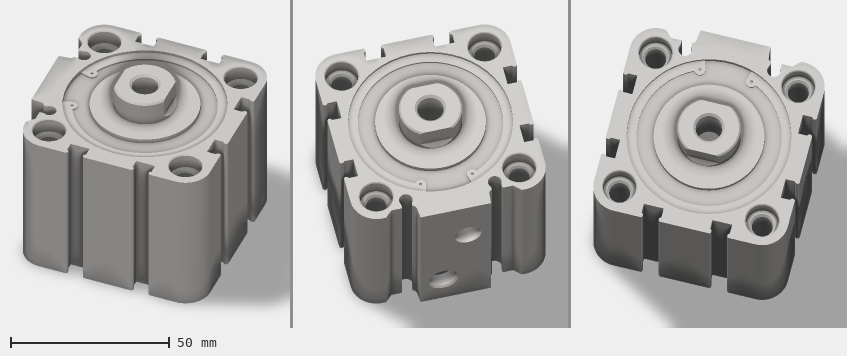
import cadquery as cq
import math


width = 63.0
half_width = width / 2
body_height = 49.85
bolt_offset = 23.2
corner_radius = half_width - bolt_offset

sunken_x = -29.3
sunken_half = 19.8
shoulder = half_width + sunken_x
port_face_x = -34.0
block_half_face = 11.4
block_half_neck = 11.8
block_neck_x = -30.05
block_waist_x = -29.7
block_half_waist = 12.05
block_shoulder_x = -29.2
block_half_shoulder = 12.5
block_root_x = -29.1
block_half_root = 12.85

groove_y = 14.4
groove_bulb_radius = 2.15
groove_bulb_x = -26.6
groove_neck_outer = 16.25

slot_offset = 11.15
slot_depth = 4.6
slot_half = 3.2
slot_mouth_half = 2.6
lip_thickness = 1.5
lip_bevel = 0.4

bolt_diameter = 6.6
bolt_countersink = 8.05
counterbore_diameter = 10.5
counterbore_rim = 11.15
counterbore_depth = 5.0

port_diameter = 8.6
port_y = 4.0
upper_port_z = 33.9
upper_port_depth = 5.3
lower_port_z = 10.6
lower_port_depth = 4.7
lower_port_rim = 9.75

recess_diameter = 52.0
recess_depth = 1.5
collar_diameter = 35.0
ring_inner_radius = 22.9
ring_drop = 0.9
ear_radius = 1.8
ear_x = -21.4
ear_y = 8.4
ear_hole_diameter = 1.0

rod_diameter = 20.0
rod_radius = rod_diameter / 2
rod_top = 58.0
rod_chamfer = 0.5
rod_sunk_depth = 19.65
rod_bottom = body_height - rod_sunk_depth
flat_half = 8.5
flat_bottom = 51.5
rod_hole_diameter = 8.4
rod_hole_rim = 9.95
rod_hole_depth = 15.0


def drilled_hole(diameter, depth, rim_diameter):
    """Cutter for a hole going down from the origin, with a 45 degree bevel at its mouth."""
    bevel = (rim_diameter - diameter) / 2
    return (
        cq.Workplane("XZ")
        .polyline([
            (0, 0),
            (rim_diameter / 2, 0),
            (diameter / 2, -bevel),
            (diameter / 2, -depth),
            (0, -depth),
        ])
        .close()
        .revolve(360, (0, 0, 0), (0, 1, 0))
    )


def full_height(outline):
    """Prism of a closed XY outline over the height of the housing."""
    return cq.Workplane("XY").polyline(outline).close().extrude(body_height)


def mirrored(half_outline):
    """Outline completed with its mirror image across the X axis."""
    return half_outline + [(x, -y) for x, y in reversed(half_outline)]


def port_side_recess():
    return full_height(mirrored([
        (-half_width, sunken_half + shoulder),
        (sunken_x, sunken_half),
    ]))


def port_block():
    return full_height(mirrored([
        (port_face_x, block_half_face),
        (block_neck_x, block_half_neck),
        (block_waist_x, block_half_waist),
        (block_shoulder_x, block_half_shoulder),
        (block_root_x, block_half_root),
    ]))


def keyhole_groove(side):
    neck_width = groove_neck_outer - block_half_root
    neck_length = groove_bulb_x - sunken_x
    neck = (
        cq.Workplane("XY")
        .center((sunken_x + groove_bulb_x) / 2, side * (groove_neck_outer + block_half_root) / 2)
        .rect(neck_length, neck_width)
        .extrude(body_height)
    )
    bulb = (
        cq.Workplane("XY")
        .center(groove_bulb_x, side * groove_y)
        .circle(groove_bulb_radius)
        .extrude(body_height)
    )
    return neck.union(bulb)


def t_slot(offset):
    """Cutter for a slot in the +X side whose lips are bevelled on both edges."""
    mouth_bevelled = slot_mouth_half + lip_bevel
    half_outline = [
        (half_width, mouth_bevelled),
        (half_width - lip_bevel, slot_mouth_half),
        (half_width - lip_thickness + lip_bevel, slot_mouth_half),
        (half_width - lip_thickness, mouth_bevelled),
        (half_width - lip_thickness, slot_half),
        (half_width - slot_depth, slot_half),
    ]
    return full_height(mirrored(half_outline)).translate((0, offset, 0))


def mounting_hole():
    counterbore = drilled_hole(counterbore_diameter, counterbore_depth, counterbore_rim)
    bolt_length = body_height - counterbore_depth
    bolt_hole = drilled_hole(bolt_diameter, bolt_length, bolt_countersink)
    return counterbore.union(bolt_hole.translate((0, 0, -counterbore_depth)))


def placed_on_port_face(cutter, y, z):
    """Turn a downward cutter so that it enters the port face at the given height and side."""
    return cutter.rotate((0, 0, 0), (0, 1, 0), -90).translate((port_face_x, y, z))


def upper_port():
    cutter = cq.Workplane("XY").circle(port_diameter / 2).extrude(-upper_port_depth)
    return placed_on_port_face(cutter, -port_y, upper_port_z)


def lower_port():
    cutter = drilled_hole(port_diameter, lower_port_depth, lower_port_rim)
    return placed_on_port_face(cutter, port_y, lower_port_z)


def cover_recess():
    """Annular recess around the collar of the end cover."""
    recess = cq.Workplane("XY").circle(recess_diameter / 2).extrude(recess_depth)
    collar = cq.Workplane("XY").circle(collar_diameter / 2).extrude(recess_depth)
    return recess.cut(collar).translate((0, 0, body_height - recess_depth))


def retaining_ring():
    """Open ring on the recess floor, each end finished by a round ear with a plier hole."""
    thickness = recess_depth - ring_drop
    outer_radius = recess_diameter / 2
    ear_distance = math.hypot(ear_x, ear_y)
    gap_angle = math.atan2(ear_y, -ear_x) - math.asin(ear_radius / ear_distance)
    gap_reach = 2 * outer_radius
    gap_half = gap_reach * math.tan(gap_angle)
    gap = (
        cq.Workplane("XY")
        .polyline([(0, 0), (-gap_reach, gap_half), (-gap_reach, -gap_half)])
        .close()
        .extrude(thickness)
    )
    ear_points = [(ear_x, ear_y), (ear_x, -ear_y)]
    ears = cq.Workplane("XY").pushPoints(ear_points).circle(ear_radius).extrude(thickness)
    holes = cq.Workplane("XY").pushPoints(ear_points).circle(ear_hole_diameter / 2).extrude(thickness)
    ring = cq.Workplane("XY").circle(outer_radius).circle(ring_inner_radius).extrude(thickness)
    ring = ring.cut(gap).union(ears).cut(holes)
    return ring.translate((0, 0, body_height - recess_depth))


def make_housing():
    body = cq.Workplane("XY").rect(width, width).extrude(body_height)
    body = body.edges("|Z").fillet(corner_radius)
    body = body.cut(port_side_recess()).union(port_block())
    for side in (-1, 1):
        body = body.cut(keyhole_groove(side))
        for angle in (-90, 0, 90):
            body = body.cut(t_slot(side * slot_offset).rotate((0, 0, 0), (0, 0, 1), angle))
        for x in (-bolt_offset, bolt_offset):
            body = body.cut(mounting_hole().translate((x, side * bolt_offset, body_height)))
    body = body.cut(upper_port())
    body = body.cut(lower_port())
    body = body.cut(cover_recess()).union(retaining_ring())
    rod_socket = cq.Workplane("XY").circle(rod_radius).extrude(rod_sunk_depth)
    return body.cut(rod_socket.translate((0, 0, rod_bottom)))


def wrench_flat():
    """Cutter for the flat on the +X side of the rod, running out below along a 45 degree slope."""
    reach = rod_radius - flat_half
    return (
        cq.Workplane("XZ")
        .polyline([
            (flat_half, rod_top),
            (flat_half, flat_bottom),
            (flat_half + reach, flat_bottom - reach),
            (flat_half + reach, rod_top),
        ])
        .close()
        .extrude(rod_radius, both=True)
    )


def make_rod():
    rod = cq.Workplane("XY").circle(rod_radius).extrude(rod_top - rod_bottom)
    rod = rod.faces(">Z").edges().chamfer(rod_chamfer).translate((0, 0, rod_bottom))
    for angle in (0, 180):
        rod = rod.cut(wrench_flat().rotate((0, 0, 0), (0, 0, 1), angle))
    end_hole = drilled_hole(rod_hole_diameter, rod_hole_depth, rod_hole_rim)
    return rod.cut(end_hole.translate((0, 0, rod_top)))


housing = make_housing()
piston_rod = make_rod()
result = cq.Compound.makeCompound([housing.val(), piston_rod.val()])